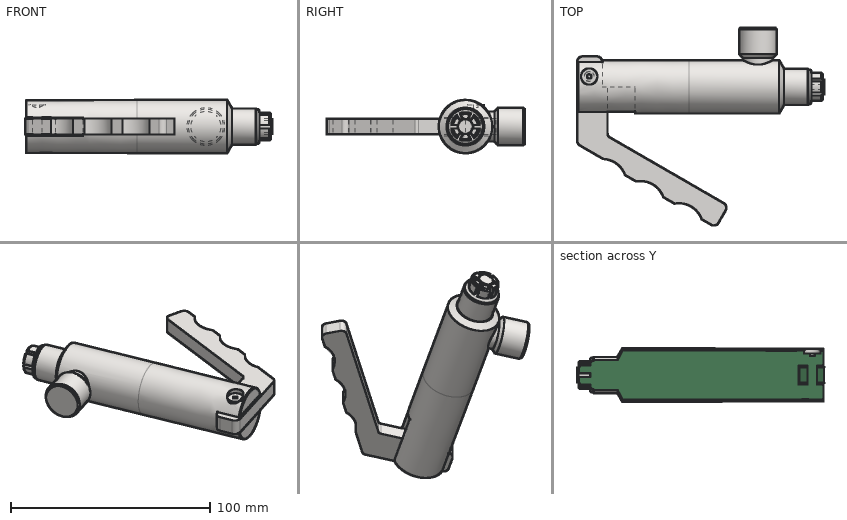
import cadquery as cq
import math


BARREL_BACK_X = 0.4
JOINT_X = 56.1
BARREL_FRONT_X = 101.4
BARREL_D = 26.9
BARREL_BACK_D = 26.7
BACK_CHAMFER = 0.4
SHOULDER_FRONT_X = 103.8
SHOULDER_FRONT_D = 19.0

NECK_D = 18.4
NECK_END_X = 115.5
NOSE_START_X = 116.2
NOSE_START_D = 17.6
NOSE_END_X = 117.5
NOSE_END_D = 15.6

CROWN_D = 14.3
CROWN_END_X = 123.4
CROWN_CHAMFER = 0.9
CROWN_CORE_D = 8.2
CROWN_SLOT_WIDTH = 1.7
CROWN_SLOT_COUNT = 6
STEM_D = 7.5
STEM_END_X = 124.1

PORT_X = 90.7
PORT_D = 19.0
PORT_STEM_D = 15.1
PORT_CONE_TOP_Y = 16.4
PORT_END_Y = 29.8
PORT_EDGE_HEIGHT = 1.0
PORT_EDGE_INSET = 0.7

SLOT_WIDTH = 9.3
SLOT_UPPER_END_X = 12.8
SLOT_LOWER_END_X = 29.2

PIVOT_X = 6.1
PIVOT_Y = 5.2
PIN_D = 4.8
PIN_HEAD_D = 8.2
PIN_HEAD_TOP_Z = 10.9
PIN_CENTER_HOLE_D = 2.2
PIN_CENTER_HOLE_DEPTH = 1.2

LEVER_THICKNESS = 8.0
LEVER_HOLE_D = 5.0
LEVER_TOP_Y = 15.4
LEVER_TOP_WIDTH = 12.7
LEVER_ARM_WIDTH = 15.4
LEVER_TOP_ROUND = 3.0
GRIP_ANGLE = math.radians(30)
GRIP_INNER_Y = -24.7
GRIP_OUTER_Y = -28.7
GRIP_OUTER_DROP = 1.7
GRIP_TIP_X = 76.0
GRIP_INNER_ROUND = 1.9
GRIP_OUTER_ROUND = 3.0
GRIP_TIP_ROUND = 2.7

FINGER_COUNT = 3
FINGER_RADIUS = 12.0
FINGER_FIRST_X = 12.7
FINGER_FIRST_Y = -48.3
FINGER_PITCH = 22.2


def make_turned_core():
    """Barrel, shoulder, neck and nose turned about the X axis."""
    nose_length = NOSE_END_X - NOSE_START_X
    nose_drop = (NOSE_START_D - NOSE_END_D) / 2
    nose_middle = (
        NOSE_START_X + nose_length * math.sin(math.pi / 4),
        NOSE_END_D / 2 + nose_drop * math.cos(math.pi / 4),
    )
    return (
        cq.Workplane("XY")
        .moveTo(BARREL_BACK_X, 0)
        .lineTo(BARREL_BACK_X, BARREL_BACK_D / 2 - BACK_CHAMFER)
        .lineTo(BARREL_BACK_X + BACK_CHAMFER, BARREL_BACK_D / 2)
        .lineTo(JOINT_X, BARREL_D / 2)
        .lineTo(BARREL_FRONT_X, BARREL_D / 2)
        .lineTo(SHOULDER_FRONT_X, SHOULDER_FRONT_D / 2)
        .lineTo(SHOULDER_FRONT_X, NECK_D / 2)
        .lineTo(NECK_END_X, NECK_D / 2)
        .lineTo(NOSE_START_X, NOSE_START_D / 2)
        .threePointArc(nose_middle, (NOSE_END_X, NOSE_END_D / 2))
        .lineTo(NOSE_END_X, 0)
        .close()
        .revolve(360, (0, 0, 0), (1, 0, 0))
    )


def make_crown():
    """Chamfered crown with radial slots down to its core, and the stem end."""
    length = CROWN_END_X - NOSE_END_X
    crown = (
        cq.Workplane("YZ", origin=(NOSE_END_X, 0, 0))
        .circle(CROWN_D / 2)
        .extrude(length)
        .faces(">X")
        .chamfer(CROWN_CHAMFER)
    )
    slot_depth = (CROWN_D - CROWN_CORE_D) / 2
    for index in range(CROWN_SLOT_COUNT):
        slot = (
            cq.Workplane("XY")
            .box(length, slot_depth, CROWN_SLOT_WIDTH, centered=(False, False, True))
            .translate((NOSE_END_X, CROWN_CORE_D / 2, 0))
            .rotate((0, 0, 0), (1, 0, 0), index * 360 / CROWN_SLOT_COUNT)
        )
        crown = crown.cut(slot)
    stem = (
        cq.Workplane("YZ", origin=(NOSE_END_X, 0, 0))
        .circle(STEM_D / 2)
        .extrude(STEM_END_X - NOSE_END_X)
    )
    return crown.union(stem)


def make_port():
    """Side port turned about an axis parallel to Y, rooted on the barrel axis."""
    cone_height = (PORT_D - PORT_STEM_D) / 2
    return (
        cq.Workplane("XY", origin=(PORT_X, 0, 0))
        .moveTo(0, 0)
        .lineTo(PORT_STEM_D / 2, 0)
        .lineTo(PORT_STEM_D / 2, PORT_CONE_TOP_Y - cone_height)
        .lineTo(PORT_D / 2, PORT_CONE_TOP_Y)
        .lineTo(PORT_D / 2, PORT_END_Y - PORT_EDGE_HEIGHT)
        .lineTo(PORT_D / 2 - PORT_EDGE_INSET, PORT_END_Y)
        .lineTo(0, PORT_END_Y)
        .close()
        .revolve(360, (0, 0, 0), (0, 1, 0))
    )


def make_lever_slot():
    """Stepped cutter, open at the back, top and bottom of the barrel."""
    return (
        cq.Workplane("XY", origin=(0, 0, -SLOT_WIDTH / 2))
        .moveTo(0, BARREL_D)
        .lineTo(SLOT_UPPER_END_X, BARREL_D)
        .lineTo(SLOT_UPPER_END_X, 0)
        .lineTo(SLOT_LOWER_END_X, 0)
        .lineTo(SLOT_LOWER_END_X, -BARREL_D)
        .lineTo(0, -BARREL_D)
        .close()
        .extrude(SLOT_WIDTH)
    )


def pivot_cylinder(diameter, bottom_z, top_z):
    """Cylinder on the pivot axis between two heights."""
    return (
        cq.Workplane("XY", origin=(PIVOT_X, PIVOT_Y, bottom_z))
        .circle(diameter / 2)
        .extrude(top_z - bottom_z)
    )


def make_housing():
    """Barrel with its port, crown, lever slot and pivot pin."""
    housing = make_turned_core().union(make_crown()).union(make_port())
    housing = housing.cut(make_lever_slot())

    housing = housing.cut(pivot_cylinder(PIN_HEAD_D, PIN_HEAD_TOP_Z, BARREL_D))
    housing = housing.union(pivot_cylinder(PIN_HEAD_D, SLOT_WIDTH / 2, PIN_HEAD_TOP_Z))
    housing = housing.union(pivot_cylinder(PIN_D, -SLOT_WIDTH / 2, SLOT_WIDTH / 2))

    hole_bottom = PIN_HEAD_TOP_Z - PIN_CENTER_HOLE_DEPTH
    return housing.cut(pivot_cylinder(PIN_CENTER_HOLE_D, hole_bottom, PIN_HEAD_TOP_Z))


def make_lever():
    """Cranked flat lever with a pivot hole and finger recesses."""
    slope = math.tan(GRIP_ANGLE)
    step_x = FINGER_FIRST_X + FINGER_RADIUS * math.sin(GRIP_ANGLE)
    step_y = GRIP_OUTER_Y - slope * step_x
    tip_y = GRIP_INNER_Y - slope * (GRIP_TIP_X - LEVER_ARM_WIDTH)

    outer_y_below_tip = GRIP_OUTER_Y - GRIP_OUTER_DROP - slope * GRIP_TIP_X
    grip_width = (tip_y - outer_y_below_tip) * math.cos(GRIP_ANGLE)
    heel_x = GRIP_TIP_X - grip_width * math.sin(GRIP_ANGLE)
    heel_y = tip_y - grip_width * math.cos(GRIP_ANGLE)

    lever = (
        cq.Workplane("XY", origin=(0, 0, -LEVER_THICKNESS / 2))
        .moveTo(0, LEVER_TOP_Y)
        .lineTo(LEVER_TOP_WIDTH, LEVER_TOP_Y)
        .lineTo(LEVER_TOP_WIDTH, 0)
        .lineTo(LEVER_ARM_WIDTH, 0)
        .lineTo(LEVER_ARM_WIDTH, GRIP_INNER_Y)
        .lineTo(GRIP_TIP_X, tip_y)
        .lineTo(heel_x, heel_y)
        .lineTo(step_x, step_y - GRIP_OUTER_DROP)
        .lineTo(step_x, step_y)
        .lineTo(0, GRIP_OUTER_Y)
        .close()
        .extrude(LEVER_THICKNESS)
    )

    rounded_corners = [
        (LEVER_TOP_ROUND, [(0, LEVER_TOP_Y), (LEVER_TOP_WIDTH, LEVER_TOP_Y)]),
        (GRIP_INNER_ROUND, [(LEVER_ARM_WIDTH, GRIP_INNER_Y)]),
        (GRIP_OUTER_ROUND, [(0, GRIP_OUTER_Y)]),
        (GRIP_TIP_ROUND, [(GRIP_TIP_X, tip_y), (heel_x, heel_y)]),
    ]
    for radius, corners in rounded_corners:
        for x, y in corners:
            lever = lever.edges(cq.selectors.NearestToPointSelector((x, y, 0))).fillet(radius)

    for index in range(FINGER_COUNT):
        along = index * FINGER_PITCH
        recess = (
            cq.Workplane("XY", origin=(0, 0, -LEVER_THICKNESS / 2))
            .center(
                FINGER_FIRST_X + along * math.cos(GRIP_ANGLE),
                FINGER_FIRST_Y - along * math.sin(GRIP_ANGLE),
            )
            .circle(FINGER_RADIUS)
            .extrude(LEVER_THICKNESS)
        )
        lever = lever.cut(recess)

    return lever.cut(pivot_cylinder(LEVER_HOLE_D, -LEVER_THICKNESS / 2, LEVER_THICKNESS / 2))


housing = make_housing()
lever = make_lever()
result = cq.Compound.makeCompound([housing.solids().val(), lever.solids().val()])